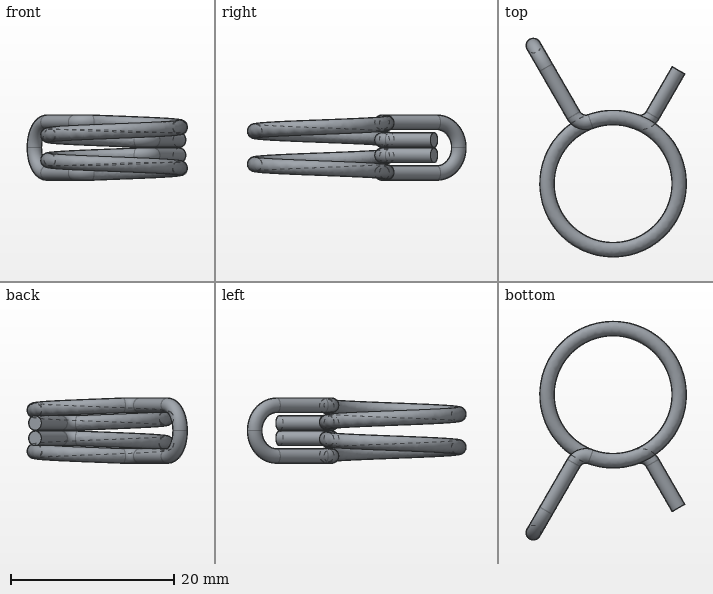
import cadquery as cq
import math


overall_length = 26.77
wire_diameter = 1.8
coil_radius = 8.08
bend_radius = 1.7
leg_direction = 120.0
pin_direction = 60.0
pin_reach = 16.0
leg_height = 3.1
pin_height = 0.95

wire_radius = wire_diameter / 2

loop_tip_y = overall_length - coil_radius - wire_diameter
loop_reach = loop_tip_y / math.sin(math.radians(leg_direction))

bend_center_distance = coil_radius + bend_radius
bend_angle = math.degrees(math.asin(bend_radius / bend_center_distance))
bend_end_distance = math.sqrt(bend_center_distance**2 - bend_radius**2)

coil_start = pin_direction + bend_angle
coil_end = leg_direction - bend_angle + 360
coil_sweep = coil_end - coil_start
coil_rise = leg_height - pin_height
coil_pitch = coil_rise * 360 / coil_sweep

tip_start_distance = loop_reach - leg_height


def polar(distance, angle, height):
    """Point at a distance and an angle around the coil axis."""
    radians = math.radians(angle)
    return cq.Vector(distance * math.cos(radians), distance * math.sin(radians), height)


def bend(leg_angle, coil_angle, height):
    """Level arc from the leg to the coil."""
    center = polar(bend_center_distance, coil_angle, height)
    leg_point = polar(bend_end_distance, leg_angle, height)
    coil_point = polar(coil_radius, coil_angle, height)
    chord_middle = (leg_point + coil_point) * 0.5
    arc_middle = center + (chord_middle - center).normalized() * bend_radius
    return cq.Edge.makeThreePointArc(leg_point, arc_middle, coil_point)


def coil():
    """Helix from the pin bend up to the loop bend."""
    helix = cq.Wire.makeHelix(coil_pitch, coil_rise, coil_radius)
    helix = helix.rotate(cq.Vector(0, 0, 0), cq.Vector(0, 0, 1), coil_start)
    return helix.translate(cq.Vector(0, 0, pin_height)).Edges()[0]


def loop_tip():
    """Quarter circle from the upper leg down to the mid plane."""
    offset = leg_height * math.sqrt(0.5)
    return cq.Edge.makeThreePointArc(
        polar(tip_start_distance, leg_direction, leg_height),
        polar(tip_start_distance + offset, leg_direction, offset),
        polar(loop_reach, leg_direction, 0),
    )


def upper_centerline():
    """Centerline pieces of the upper half, from the pin end to the middle of the loop."""
    pin_end = polar(pin_reach, pin_direction, pin_height)
    pin_base = polar(bend_end_distance, pin_direction, pin_height)
    leg_base = polar(bend_end_distance, leg_direction, leg_height)
    leg_end = polar(tip_start_distance, leg_direction, leg_height)
    return [
        cq.Edge.makeLine(pin_end, pin_base),
        bend(pin_direction, coil_start, pin_height),
        coil(),
        bend(leg_direction, coil_end, leg_height),
        cq.Edge.makeLine(leg_base, leg_end),
        loop_tip(),
    ]


def wire_along(edge):
    """Round wire along one piece; its upright section lets sloped and level pieces meet face to face."""
    tangent = edge.tangentAt(0)
    level_tangent = cq.Vector(tangent.x, tangent.y, 0)
    section_plane = cq.Plane(edge.startPoint(), (0, 0, 1), level_tangent)
    section = cq.Workplane(section_plane).circle(wire_radius)
    return section.sweep(cq.Workplane(edge), isFrenet=edge.geomType() != "LINE")


upper_half = cq.Workplane()
for piece in upper_centerline():
    upper_half = upper_half.add(wire_along(piece))
upper_half = upper_half.combine()

result = upper_half.union(upper_half.mirror("XY"))